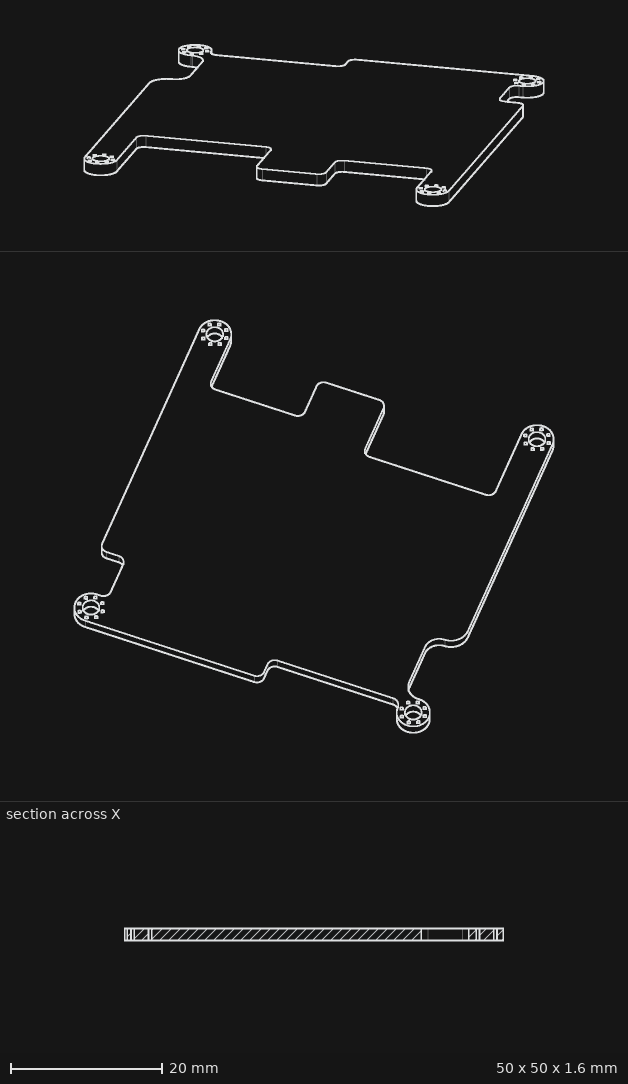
import cadquery as cq
import math

thickness = 1.6
side = 50.0
edge = side / 2

lug_radius = 2.2
lug_center = edge - lug_radius
lug_inner = edge - 2 * lug_radius
screw_hole_diameter = 2.2
small_hole_diameter = 0.4
small_hole_circle_radius = 1.65
small_holes_per_lug = 8

step_x = -2.15
upper_left_y = 21.7
left_notch_bottom = 10.75
right_notch_x = 21.25
right_notch_bottom = 14.0
left_slot_top = -12.3
right_slot_top = -14.8
tab_right = 7.35
tab_bottom = -21.05

corner_radius = 1.0
notch_inner_radius = 2.0
notch_outer_radius = 2 * lug_radius - notch_inner_radius
lug_blend_radius = lug_center - upper_left_y


def rounded_corners(plate, points, radius):
    """Fillet the vertical edges standing at the given outline points."""
    for x, y in points:
        corner = cq.selectors.NearestToPointSelector((x, y, thickness / 2))
        plate = plate.edges("|Z").edges(corner).fillet(radius)
    return plate


def plate_body():
    """Flat plate with the four round lug ends, before the corners are rounded."""
    diagonal = lug_radius * math.sqrt(0.5)
    lug_outer_diagonal = lug_center + diagonal
    return (
        cq.Workplane("XY")
        .moveTo(-lug_center, lug_inner)
        .threePointArc((-lug_outer_diagonal, lug_outer_diagonal), (-lug_inner, lug_center))
        .radiusArc((-lug_inner + lug_blend_radius, upper_left_y), -lug_blend_radius)
        .lineTo(step_x, upper_left_y)
        .lineTo(step_x, edge)
        .lineTo(lug_center, edge)
        .threePointArc((edge, lug_center), (lug_center, lug_inner))
        .lineTo(right_notch_x, lug_inner)
        .lineTo(right_notch_x, right_notch_bottom)
        .lineTo(edge, right_notch_bottom)
        .lineTo(edge, -lug_center)
        .threePointArc((lug_center, -edge), (lug_inner, -lug_center))
        .lineTo(lug_inner, right_slot_top)
        .lineTo(tab_right, right_slot_top)
        .lineTo(tab_right, tab_bottom)
        .lineTo(step_x, tab_bottom)
        .lineTo(step_x, left_slot_top)
        .lineTo(-lug_inner, left_slot_top)
        .lineTo(-lug_inner, -lug_center)
        .threePointArc((-lug_center, -edge), (-edge, -lug_center))
        .lineTo(-edge, left_notch_bottom - notch_outer_radius)
        .radiusArc((-edge + notch_outer_radius, left_notch_bottom), notch_outer_radius)
        .radiusArc((-lug_inner, left_notch_bottom + notch_inner_radius), -notch_inner_radius)
        .lineTo(-lug_inner, lug_inner - notch_inner_radius)
        .radiusArc((-lug_inner - notch_inner_radius, lug_inner), -notch_inner_radius)
        .close()
        .extrude(thickness)
    )


def lug_holes():
    """Screw hole and its ring of small holes at every lug, as one cutting body."""
    centers = [(x, y) for x in (-lug_center, lug_center) for y in (-lug_center, lug_center)]
    screw_holes = cq.Workplane("XY").pushPoints(centers).circle(screw_hole_diameter / 2).extrude(thickness)
    ring_points = []
    for x, y in centers:
        for index in range(small_holes_per_lug):
            angle = 2 * math.pi * index / small_holes_per_lug
            dx = small_hole_circle_radius * math.cos(angle)
            dy = small_hole_circle_radius * math.sin(angle)
            ring_points.append((x + dx, y + dy))
    small_holes = cq.Workplane("XY").pushPoints(ring_points).circle(small_hole_diameter / 2).extrude(thickness)
    return screw_holes.add(small_holes).combine()


square_corners = [
    (step_x, upper_left_y),
    (step_x, edge),
    (right_notch_x, lug_inner),
    (right_notch_x, right_notch_bottom),
    (edge, right_notch_bottom),
    (lug_inner, right_slot_top),
    (tab_right, right_slot_top),
    (tab_right, tab_bottom),
    (step_x, tab_bottom),
    (step_x, left_slot_top),
    (-lug_inner, left_slot_top),
]

result = rounded_corners(plate_body(), square_corners, corner_radius).cut(lug_holes())